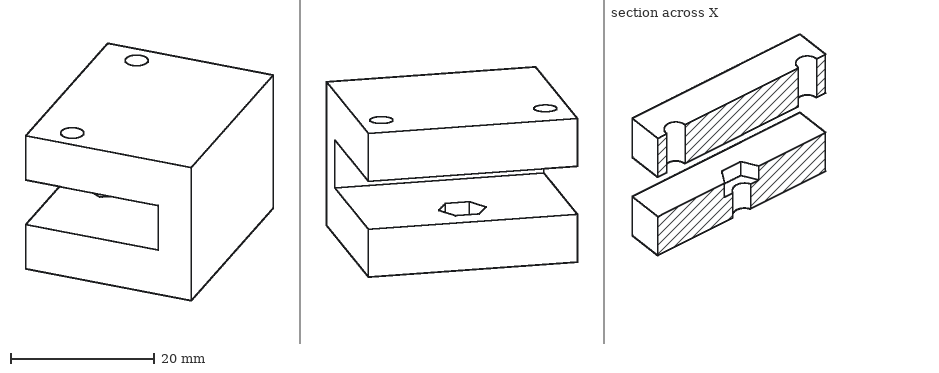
import cadquery as cq

length = 25.0
width = 30.0
height = 21.0

arm_thickness = height / 3
slot_depth = 19.98

pin_hole_diameter = 3.2
pin_hole_x = 5.7
pin_hole_spacing = 23.52

nut_x = 6.35
nut_corner_diameter = 6.8
nut_pocket_depth = 2.5
screw_hole_diameter = 3.4


def make_clevis():
    block = cq.Workplane("XY").box(length, width, height, centered=(False, True, False))
    slot_height = height - 2 * arm_thickness
    slot = (
        cq.Workplane("XY")
        .workplane(offset=arm_thickness)
        .box(slot_depth, width, slot_height, centered=(False, True, False))
    )
    return block.cut(slot)


def make_pin_holes():
    half_spacing = pin_hole_spacing / 2
    return (
        cq.Workplane("XY")
        .workplane(offset=height - arm_thickness)
        .pushPoints([(pin_hole_x, -half_spacing), (pin_hole_x, half_spacing)])
        .circle(pin_hole_diameter / 2)
        .extrude(arm_thickness)
    )


def make_nut_seat():
    pocket = (
        cq.Workplane("XY")
        .polygon(6, nut_corner_diameter)
        .extrude(nut_pocket_depth)
        .rotate((0, 0, 0), (0, 0, 1), 90)
        .translate((nut_x, 0, arm_thickness - nut_pocket_depth))
    )
    screw_hole = (
        cq.Workplane("XY")
        .center(nut_x, 0)
        .circle(screw_hole_diameter / 2)
        .extrude(arm_thickness)
    )
    return pocket.union(screw_hole)


result = make_clevis().cut(make_pin_holes()).cut(make_nut_seat())